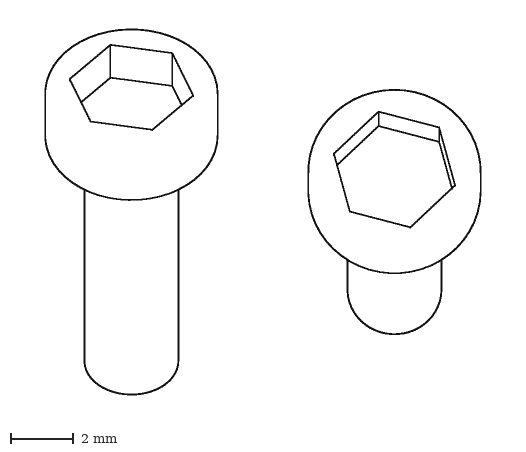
import cadquery as cq

total_length = 12.5
head_diameter = 5.5
head_height = 2.5
head_edge_radius = 0.3
shank_diameter = 3.0
socket_corner_width = 4.0
socket_depth = 1.5

shank_length = total_length - head_height


def make_shank():
    """Plain cylinder from the tip at Z = 0 up to the underside of the head."""
    return cq.Workplane("XY").circle(shank_diameter / 2).extrude(shank_length)


def make_head():
    """Cylindrical head with both rims rounded."""
    head = cq.Workplane("XY", origin=(0, 0, shank_length)).circle(head_diameter / 2).extrude(head_height)
    return head.faces("<Z or >Z").edges().fillet(head_edge_radius)


def make_socket():
    """Hexagonal drive recess, with two corners on the X axis."""
    socket_floor = total_length - socket_depth
    return (
        cq.Workplane("XY", origin=(0, 0, socket_floor))
        .polygon(6, socket_corner_width)
        .extrude(socket_depth)
    )


result = make_shank().union(make_head()).cut(make_socket())